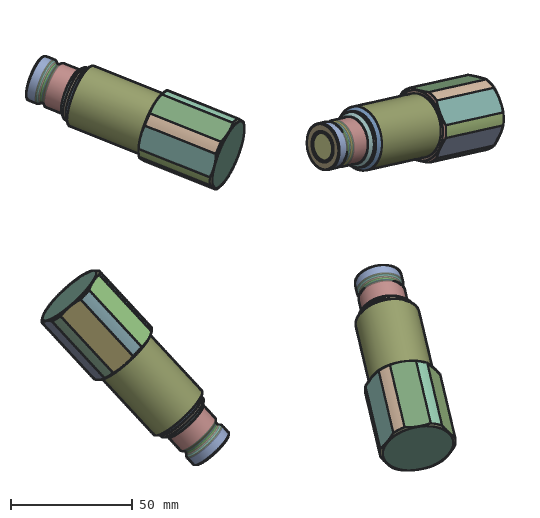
import cadquery as cq
import math

total_length = 88.8

nose_radius = 9.9
nose_chamfer = 0.35
groove_floor_radius = 8.8
groove_center = 6.6
groove_floor_width = 0.9
groove_lip_fillet = 0.7
groove_root_fillet = 0.8

nose_length = 16.4
collar_radius = 11.7
collar_cone_end = 18.1
collar_end = 19.4
body_radius = 13.5
body_cone_end = 21.05

hex_start = 54.5
hex_across_flats = 30.0
hex_corner_radius = 16.0
hex_face_radius = 14.8
hex_chamfer_length = 0.7

ring_mouth_radius = 6.6
ring_outer_radius = 6.3
ring_inner_radius = 5.9
ring_depth = 0.4


def make_turned_body():
    """Revolve the nose, collar and cylindrical body."""
    collar_cone_start_radius = collar_radius - (collar_cone_end - nose_length)
    body_cone_start_radius = body_radius - (body_cone_end - collar_end)
    profile = (
        cq.Workplane("XY")
        .lineTo(0, nose_radius - nose_chamfer)
        .lineTo(nose_chamfer, nose_radius)
        .lineTo(nose_length, nose_radius)
        .lineTo(nose_length, collar_cone_start_radius)
        .lineTo(collar_cone_end, collar_radius)
        .lineTo(collar_end, collar_radius)
        .lineTo(collar_end, body_cone_start_radius)
        .lineTo(body_cone_end, body_radius)
        .lineTo(hex_start, body_radius)
        .lineTo(hex_start, 0)
        .close()
    )
    return profile.revolve(360, (0, 0, 0), (1, 0, 0))


def make_latch_groove():
    """Ring cutter: flat floor, concave wall roots, 45 degree walls and convex rounded lips."""
    sin_45 = math.sin(math.pi / 4)
    sin_mid = math.sin(math.pi / 8)
    rise_45 = 1 - math.cos(math.pi / 4)
    rise_mid = 1 - math.cos(math.pi / 8)

    floor_half = groove_floor_width / 2
    root_end = floor_half + groove_root_fillet * sin_45
    root_end_radius = groove_floor_radius + groove_root_fillet * rise_45
    root_mid = floor_half + groove_root_fillet * sin_mid
    root_mid_radius = groove_floor_radius + groove_root_fillet * rise_mid

    lip_start_radius = nose_radius - groove_lip_fillet * rise_45
    lip_start = root_end + (lip_start_radius - root_end_radius)
    mouth_half = lip_start + groove_lip_fillet * sin_45
    lip_mid = mouth_half - groove_lip_fillet * sin_mid
    lip_mid_radius = nose_radius - groove_lip_fillet * rise_mid

    profile = (
        cq.Workplane("XY", origin=(groove_center, 0, 0))
        .moveTo(-floor_half, groove_floor_radius)
        .lineTo(floor_half, groove_floor_radius)
        .threePointArc((root_mid, root_mid_radius), (root_end, root_end_radius))
        .lineTo(lip_start, lip_start_radius)
        .threePointArc((lip_mid, lip_mid_radius), (mouth_half, nose_radius))
        .lineTo(-mouth_half, nose_radius)
        .threePointArc((-lip_mid, lip_mid_radius), (-lip_start, lip_start_radius))
        .lineTo(-root_end, root_end_radius)
        .threePointArc((-root_mid, root_mid_radius), (-floor_half, groove_floor_radius))
        .close()
    )
    return profile.revolve(360, (0, 0, 0), (1, 0, 0))


def make_hex():
    """Hexagon with flats facing +Z and -Z, turned down at its corners and ends."""
    hex_length = total_length - hex_start
    across_corners = hex_across_flats / math.cos(math.pi / 6)
    prism = cq.Workplane("YZ", origin=(hex_start, 0, 0)).polygon(6, across_corners).extrude(hex_length)
    turned_blank = (
        cq.Workplane("XY")
        .moveTo(hex_start, 0)
        .lineTo(hex_start, hex_face_radius)
        .lineTo(hex_start + hex_chamfer_length, hex_corner_radius)
        .lineTo(total_length - hex_chamfer_length, hex_corner_radius)
        .lineTo(total_length, hex_face_radius)
        .lineTo(total_length, 0)
        .close()
        .revolve(360, (0, 0, 0), (1, 0, 0))
    )
    return prism.intersect(turned_blank)


def make_ring_groove():
    """Ring cutter with a straight inner wall and a chamfered outer mouth."""
    mouth_chamfer = ring_mouth_radius - ring_outer_radius
    profile = (
        cq.Workplane("XY")
        .moveTo(0, ring_inner_radius)
        .lineTo(0, ring_mouth_radius)
        .lineTo(mouth_chamfer, ring_outer_radius)
        .lineTo(ring_depth, ring_outer_radius)
        .lineTo(ring_depth, ring_inner_radius)
        .close()
    )
    return profile.revolve(360, (0, 0, 0), (1, 0, 0))


result = make_turned_body().union(make_hex()).cut(make_latch_groove()).cut(make_ring_groove())